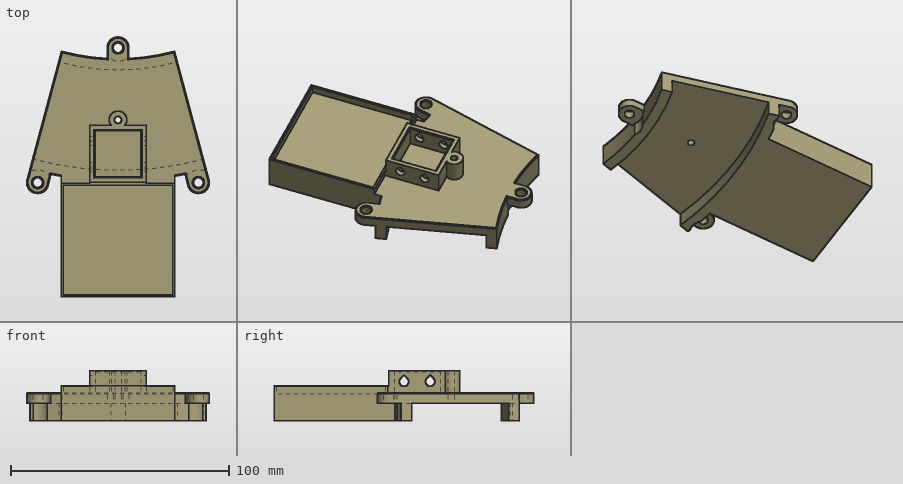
import cadquery as cq
import math


INNER_RADIUS = 100.0
OUTER_RADIUS = 156.0
HALF_ANGLE = 15.0
PLATE_TOP = 13.0
PLATE_THICKNESS = 5.0
PLATE_BOTTOM = PLATE_TOP - PLATE_THICKNESS
EDGE_CHAMFER = 0.5

WALL_THICKNESS = 5.0

TAB_RADIUS = 5.0
TAB_HOLE_DIAMETER = 4.5
TAB_CLEARANCE = 1.0
TAB_CLEARANCE_RADIUS = TAB_RADIUS + TAB_CLEARANCE
REAR_TAB_RADIUS = INNER_RADIUS - TAB_RADIUS
FRONT_TAB_RADIUS = OUTER_RADIUS + TAB_RADIUS
FRONT_TAB_ANGLE = HALF_ANGLE - math.degrees(math.asin(TAB_RADIUS / FRONT_TAB_RADIUS))

TRAY_SIZE = 52.0
TRAY_HEIGHT = 16.0
TRAY_WALL = 1.0
TRAY_DEPTH = 3.5
TRAY_BACK = -(OUTER_RADIUS + TRAY_WALL)
TRAY_CENTER_Y = TRAY_BACK - TRAY_SIZE / 2

FRAME_SIZE = 26.0
FRAME_WALL = 2.5
FRAME_RIM_CHAMFER = 0.5
FRAME_TOP = 23.0
FRAME_HEIGHT = FRAME_TOP - PLATE_TOP
FRAME_TRAY_GAP = 0.5
FRAME_FRONT = TRAY_BACK + FRAME_TRAY_GAP
FRAME_CENTER_Y = FRAME_FRONT + FRAME_SIZE / 2

TEARDROP_DIAMETER = 4.2
TEARDROP_SPACING = 12.0
TEARDROP_Z = PLATE_TOP + FRAME_HEIGHT / 2

BOSS_HOLE_DIAMETER = 3.1
BOSS_RADIUS = BOSS_HOLE_DIAMETER / 2 + FRAME_WALL
BOSS_Y = FRAME_FRONT + FRAME_SIZE + FRAME_WALL


def polar(radius, angle):
    """Point at a radius and an angle measured from -Y towards +X."""
    a = math.radians(angle)
    return (radius * math.sin(a), -radius * math.cos(a))


TAB_CENTERS = [
    polar(REAR_TAB_RADIUS, 0),
    polar(FRONT_TAB_RADIUS, -FRONT_TAB_ANGLE),
    polar(FRONT_TAB_RADIUS, FRONT_TAB_ANGLE),
]


def cylinder(center, radius, bottom, top):
    return cq.Workplane("XY", origin=(*center, bottom)).circle(radius).extrude(top - bottom)


def block(width, length, center_y, bottom, top):
    plane = cq.Workplane("XY", origin=(0, center_y, bottom))
    return plane.rect(width, length).extrude(top - bottom)


def ring_sector(inner, outer, bottom, top):
    return (
        cq.Workplane("XY", origin=(0, 0, bottom))
        .moveTo(*polar(inner, -HALF_ANGLE))
        .threePointArc(polar(inner, 0), polar(inner, HALF_ANGLE))
        .lineTo(*polar(outer, HALF_ANGLE))
        .threePointArc(polar(outer, 0), polar(outer, -HALF_ANGLE))
        .close()
        .extrude(top - bottom)
    )


def tab_point(along, across, angle):
    """Point set off sideways, towards +X, from the radial line at an angle."""
    a = math.radians(angle)
    x, y = polar(along, angle)
    return (x + across * math.cos(a), y + across * math.sin(a))


def plate_outline():
    """Ring sector with a round-ended tab at the rear and at both front corners."""
    rear_root = math.sqrt(INNER_RADIUS**2 - TAB_RADIUS**2)
    rear_tip = REAR_TAB_RADIUS - TAB_RADIUS
    front_root = math.sqrt(OUTER_RADIUS**2 - TAB_RADIUS**2)
    front_tip = FRONT_TAB_RADIUS + TAB_RADIUS
    side_end = math.sqrt(FRONT_TAB_RADIUS**2 - TAB_RADIUS**2)
    tab_angle = FRONT_TAB_ANGLE
    rear_middle_angle = HALF_ANGLE / 2
    return (
        cq.Workplane("XY", origin=(0, 0, PLATE_BOTTOM))
        .moveTo(*tab_point(rear_root, -TAB_RADIUS, 0))
        .lineTo(*tab_point(REAR_TAB_RADIUS, -TAB_RADIUS, 0))
        .threePointArc(polar(rear_tip, 0), tab_point(REAR_TAB_RADIUS, TAB_RADIUS, 0))
        .lineTo(*tab_point(rear_root, TAB_RADIUS, 0))
        .threePointArc(polar(INNER_RADIUS, rear_middle_angle), polar(INNER_RADIUS, HALF_ANGLE))
        .lineTo(*polar(side_end, HALF_ANGLE))
        .threePointArc(polar(front_tip, tab_angle), tab_point(FRONT_TAB_RADIUS, -TAB_RADIUS, tab_angle))
        .lineTo(*tab_point(front_root, -TAB_RADIUS, tab_angle))
        .threePointArc(polar(OUTER_RADIUS, 0), tab_point(front_root, TAB_RADIUS, -tab_angle))
        .lineTo(*tab_point(FRONT_TAB_RADIUS, TAB_RADIUS, -tab_angle))
        .threePointArc(polar(front_tip, -tab_angle), polar(side_end, -HALF_ANGLE))
        .lineTo(*polar(INNER_RADIUS, -HALF_ANGLE))
        .threePointArc(polar(INNER_RADIUS, -rear_middle_angle), tab_point(rear_root, -TAB_RADIUS, 0))
        .close()
    )


def tabbed_plate():
    plate = plate_outline().extrude(PLATE_THICKNESS)
    for center in TAB_CENTERS:
        plate = plate.cut(cylinder(center, TAB_HOLE_DIAMETER / 2, PLATE_BOTTOM, PLATE_TOP))
    return plate.faces(">Z").edges().chamfer(EDGE_CHAMFER)


def support_walls():
    """Curved walls under the plate, relieved around the axis of each screw tab."""
    rear = ring_sector(INNER_RADIUS, INNER_RADIUS + WALL_THICKNESS, 0, PLATE_BOTTOM)
    front = ring_sector(OUTER_RADIUS - WALL_THICKNESS, OUTER_RADIUS, 0, PLATE_BOTTOM)
    walls = rear.union(front)
    for center in TAB_CENTERS:
        walls = walls.cut(cylinder(center, TAB_CLEARANCE_RADIUS, 0, PLATE_BOTTOM))
    return walls


def tray():
    body = block(TRAY_SIZE, TRAY_SIZE, TRAY_CENTER_Y, 0, TRAY_HEIGHT)
    opening = TRAY_SIZE - 2 * TRAY_WALL
    floor = TRAY_HEIGHT - TRAY_DEPTH
    return body.cut(block(opening, opening, TRAY_CENTER_Y, floor, TRAY_HEIGHT))


def tray_bridge():
    """Solid joining the curved front wall and plate to the back of the tray."""
    wall_inner_radius = OUTER_RADIUS - WALL_THICKNESS
    length = -wall_inner_radius - TRAY_BACK
    bridge = block(TRAY_SIZE, length, TRAY_BACK + length / 2, 0, PLATE_TOP)
    return bridge.cut(cylinder((0, 0), wall_inner_radius, 0, PLATE_BOTTOM))


def teardrop_hole(center_y):
    """Hole along X with a 90 degree pointed roof."""
    radius = TEARDROP_DIAMETER / 2
    tangent = radius / math.sqrt(2)
    return (
        cq.Workplane("YZ", origin=(-FRAME_SIZE / 2, center_y, TEARDROP_Z))
        .moveTo(-tangent, tangent)
        .threePointArc((0, -radius), (tangent, tangent))
        .lineTo(0, radius * math.sqrt(2))
        .close()
        .extrude(FRAME_SIZE)
    )


def frame():
    body = block(FRAME_SIZE, FRAME_SIZE, FRAME_CENTER_Y, PLATE_TOP, FRAME_TOP)
    body = body.union(cylinder((0, BOSS_Y), BOSS_RADIUS, PLATE_TOP, FRAME_TOP))
    opening = FRAME_SIZE - 2 * FRAME_WALL
    cavity = block(opening, opening, FRAME_CENTER_Y, PLATE_TOP, FRAME_TOP)
    rim_opening = opening + 2 * FRAME_RIM_CHAMFER
    rim = (
        cq.Workplane("XY", origin=(0, FRAME_CENTER_Y, FRAME_TOP))
        .rect(rim_opening, rim_opening)
        .workplane(offset=-FRAME_RIM_CHAMFER)
        .rect(opening, opening)
        .loft()
    )
    body = body.cut(cavity).cut(rim)
    for side in (-1, 1):
        body = body.cut(teardrop_hole(FRAME_CENTER_Y + side * TEARDROP_SPACING / 2))
    return body


def frame_web():
    """Filler closing the narrow gap between the frame and the tray, level with the tray rim."""
    center_y = (FRAME_FRONT + TRAY_BACK) / 2
    return block(FRAME_SIZE, FRAME_TRAY_GAP, center_y, PLATE_TOP, TRAY_HEIGHT)


result = tabbed_plate()
for piece in (support_walls(), tray_bridge(), tray(), frame(), frame_web()):
    result = result.union(piece)
result = result.cut(cylinder((0, BOSS_Y), BOSS_HOLE_DIAMETER / 2, 0, FRAME_TOP))
result = result.clean()